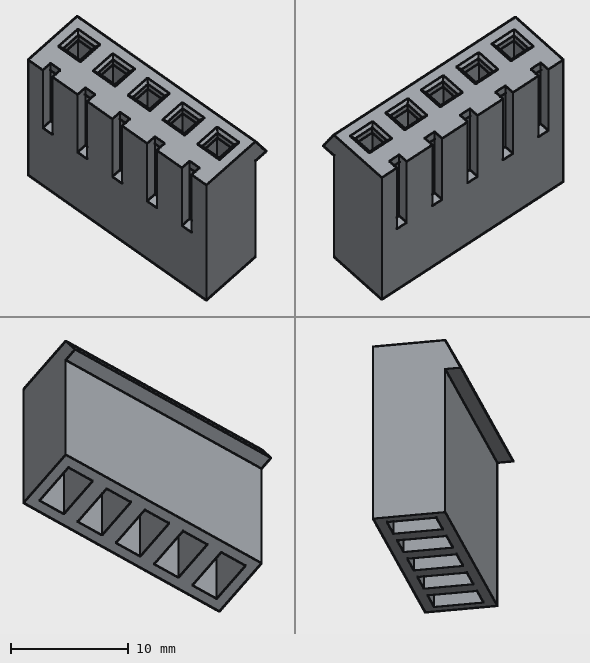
import cadquery as cq

housing_width = 20.3
housing_height = 16.0
housing_depth = 6.3
wall = 1.0

ramp_reach = 1.4
ramp_height = 2.7

contact_count = 5
contact_pitch = 3.96

pin_hole_size = 1.9
funnel_inset = 0.3
mouth_size = pin_hole_size + 2 * funnel_inset
pin_hole_center_y = housing_depth - wall - mouth_size / 2

cavity_width = mouth_size
cavity_depth = housing_depth - 2 * wall
cavity_height = housing_height - wall

slot_width = 1.1
slot_depth = wall
slot_height = housing_height / 2


def make_housing():
    """Extrude the side profile, ramp included, across the full width."""
    ramp_bottom = housing_height - ramp_height
    profile = [
        (0, 0),
        (housing_depth, 0),
        (housing_depth, ramp_bottom),
        (housing_depth + ramp_reach, ramp_bottom),
        (housing_depth, housing_height),
        (0, housing_height),
    ]
    return cq.Workplane("YZ").polyline(profile).close().extrude(housing_width / 2, both=True)


def make_pin_entry(x):
    """Square hole through the roof with a tapered funnel at the top."""
    top = cq.Workplane("XY", origin=(x, pin_hole_center_y, housing_height))
    hole = top.rect(pin_hole_size, pin_hole_size).extrude(-wall)
    funnel = (
        top.rect(mouth_size, mouth_size)
        .workplane(offset=-funnel_inset)
        .rect(pin_hole_size, pin_hole_size)
        .loft(ruled=True)
    )
    return hole.union(funnel)


def make_cavity(x):
    """Box from the underside up to the roof, between the front and back walls."""
    cavity = cq.Workplane("XY").box(cavity_width, cavity_depth, cavity_height, centered=(True, False, False))
    return cavity.translate((x, wall, 0))


def make_slot(x):
    """Vertical slot in the front face, open at the top."""
    slot = cq.Workplane("XY").box(slot_width, slot_depth, slot_height, centered=(True, False, False))
    return slot.translate((x, 0, housing_height - slot_height))


result = make_housing()
for index in range(contact_count):
    contact_x = (index - (contact_count - 1) / 2) * contact_pitch
    result = result.cut(make_cavity(contact_x))
    result = result.cut(make_pin_entry(contact_x))
    result = result.cut(make_slot(contact_x))